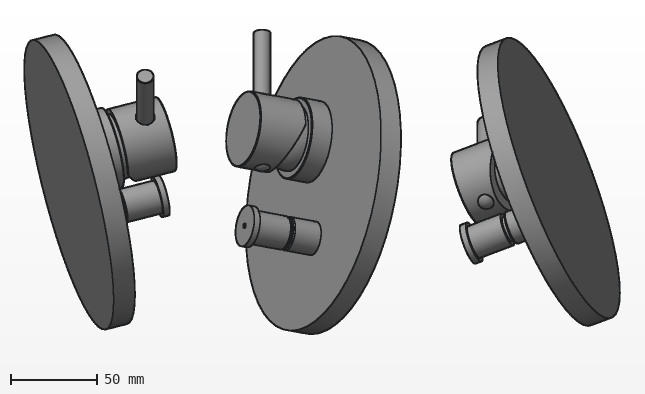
import cadquery as cq

PLATE_RADIUS = 86.5
PLATE_THICKNESS = 13.0

KNOB_Z = 25.75
COLLAR_RADIUS = 24.0
COLLAR_END_Y = 26.2
COLLAR_CHAMFER = 0.5
BALL_RADIUS = 19.6
BALL_CENTRE_Y = 26.7
KNOB_RADIUS = 22.25
KNOB_START_Y = 29.3
KNOB_END_Y = 58.69
KNOB_CHAMFER = 0.5
SLANT_DEPTH = 10.2

LEVER_RADIUS = 5.0
LEVER_Y = 46.3
LEVER_TOP_Z = 87.75
LEVER_CHAMFER = 0.3
BORE_RADIUS = 5.5
BORE_DEPTH = 2.0
TIP_RADIUS = 7.1
TIP_HEIGHT = 1.6

BUTTON_Z = -34.25
STEM_RADIUS = 9.9
STEM_END_Y = 30.5
STEM_CHAMFER = 0.8
NECK_RADIUS = 7.5
BODY_START_Y = 32.7
CAP_START_Y = 53.7
CAP_RADIUS = 12.1
CAP_END_Y = 57.5
PIP_RADIUS = 1.3
PIP_HEIGHT = 0.4


def disc(radius, start_y, end_y, centre_z=0.0):
    """Cylinder along Y between two Y positions."""
    plane = cq.Plane(origin=(0, start_y, centre_z), xDir=(1, 0, 0), normal=(0, 1, 0))
    return cq.Workplane(plane).circle(radius).extrude(end_y - start_y)


def ball(radius, centre_y, centre_z, axis):
    """Sphere with its poles along the given axis."""
    return cq.Workplane("XY", origin=(0, centre_y, centre_z)).sphere(radius, direct=axis)


def make_knob():
    """Round knob with a slanted back face below its axis and a recess for the lever."""
    knob = disc(KNOB_RADIUS, KNOB_START_Y, KNOB_END_Y, KNOB_Z)
    knob = knob.faces(">Y").chamfer(KNOB_CHAMFER)
    slant = (
        cq.Workplane("YZ")
        .moveTo(KNOB_START_Y, KNOB_Z)
        .lineTo(KNOB_START_Y + SLANT_DEPTH, KNOB_Z - KNOB_RADIUS)
        .lineTo(KNOB_START_Y, KNOB_Z - KNOB_RADIUS)
        .close()
        .extrude(KNOB_RADIUS, both=True)
    )
    recess = (
        cq.Workplane("XY", origin=(0, LEVER_Y, KNOB_Z + KNOB_RADIUS - BORE_DEPTH))
        .circle(BORE_RADIUS)
        .extrude(BORE_DEPTH)
    )
    return knob.cut(slant).cut(recess)


def make_lever():
    """Upright rod set into the knob, with a rounded tip showing underneath."""
    rod = (
        cq.Workplane("XY", origin=(0, LEVER_Y, KNOB_Z))
        .circle(LEVER_RADIUS)
        .extrude(LEVER_TOP_Z - KNOB_Z)
        .faces(">Z")
        .chamfer(LEVER_CHAMFER)
    )
    tip_centre_z = KNOB_Z - KNOB_RADIUS - TIP_HEIGHT + TIP_RADIUS
    return rod.union(ball(TIP_RADIUS, LEVER_Y, tip_centre_z, cq.Vector(0, 0, 1)))


def make_mixer():
    """Collar on the plate, ball joint, knob and lever."""
    collar = disc(COLLAR_RADIUS, 0, COLLAR_END_Y, KNOB_Z).faces(">Y").chamfer(COLLAR_CHAMFER)
    joint = ball(BALL_RADIUS, BALL_CENTRE_Y, KNOB_Z, cq.Vector(0, 1, 0))
    return collar.union(joint).union(make_knob()).union(make_lever())


def make_button():
    """Stem on the plate, necked in below the button body and its wider cap with a raised dot."""
    stem = disc(STEM_RADIUS, 0, STEM_END_Y, BUTTON_Z).faces(">Y").chamfer(STEM_CHAMFER)
    neck = disc(NECK_RADIUS, 0, BODY_START_Y, BUTTON_Z)
    body = disc(STEM_RADIUS, BODY_START_Y, CAP_START_Y, BUTTON_Z)
    cap = disc(CAP_RADIUS, CAP_START_Y, CAP_END_Y, BUTTON_Z)
    pip = disc(PIP_RADIUS, CAP_END_Y, CAP_END_Y + PIP_HEIGHT, BUTTON_Z)
    return stem.union(neck).union(body).union(cap).union(pip)


plate = disc(PLATE_RADIUS, 0, PLATE_THICKNESS)
result = plate.union(make_mixer()).union(make_button())